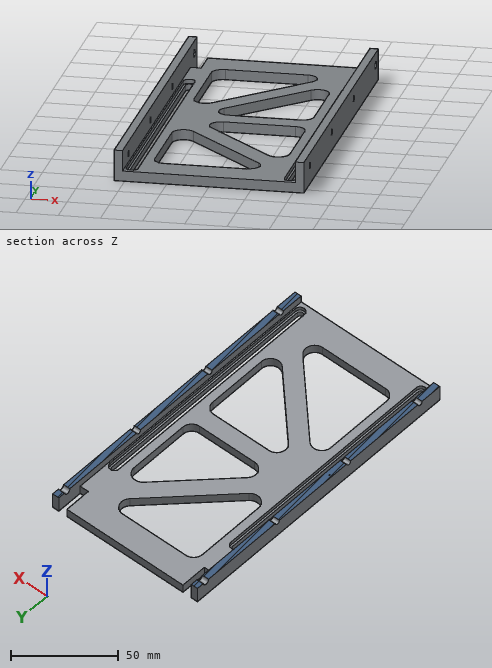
import cadquery as cq
import math

width = 90.0
length = 170.0
height = 15.0
wall_thickness = 4.0
base_thickness = 5.0

notch_width = 5.0
notch_length = 15.0

slot_from_side = 7.5
slot_width = 3.3
slot_recess_width = 5.5
slot_start = 5.0
slot_travel = 130.0
slot_recess_depth = 2.0

window_margin = 15.0
brace_width = 10.0
window_corner_radius = 5.5

hole_height = 9.0
hole_pitch = 50.0
first_hole_from_end = 6.0
first_hole_diameter = 3.5
hole_diameter = 2.7
plain_hole_count = 3

half_width = width / 2
half_length = length / 2
inner_half_width = half_width - wall_thickness


def make_channel():
    """U-shaped body, with its underside at Z = 0."""
    body = cq.Workplane("XY").box(width, length, height, centered=(True, True, False))
    trough = (
        cq.Workplane("XY")
        .workplane(offset=base_thickness)
        .rect(2 * inner_half_width, length)
        .extrude(height - base_thickness)
    )
    return body.cut(trough)


def make_notches():
    """Blocks that open the base plate beside each wall at the +Y end."""
    return (
        cq.Workplane("XY")
        .pushPoints(
            [
                (side * (inner_half_width - notch_width / 2), half_length - notch_length / 2)
                for side in (-1, 1)
            ]
        )
        .rect(notch_width, notch_length)
        .extrude(base_thickness)
    )


def make_stepped_slot(side):
    """Narrow through slot with a wider recess in the top of the base plate."""
    center_x = side * (half_width - slot_from_side)
    center_y = -half_length + slot_start + slot_travel / 2
    through = (
        cq.Workplane("XY")
        .center(center_x, center_y)
        .slot2D(slot_travel + slot_width, slot_width, 90)
        .extrude(base_thickness)
    )
    recess = (
        cq.Workplane("XY")
        .workplane(offset=base_thickness - slot_recess_depth)
        .center(center_x, center_y)
        .slot2D(slot_travel + slot_recess_width, slot_recess_width, 90)
        .extrude(slot_recess_depth)
    )
    return through.union(recess)


def make_triangle(corner_x, corner_y, leg_x, leg_y):
    """Rounded right triangle; the signed legs run from its square corner."""
    return (
        cq.Workplane("XY")
        .polyline(
            [
                (corner_x, corner_y),
                (corner_x + leg_x, corner_y),
                (corner_x, corner_y + leg_y),
            ]
        )
        .close()
        .extrude(base_thickness)
        .edges("|Z")
        .fillet(window_corner_radius)
    )


def make_windows(end):
    """Pair of triangles either side of the brace, in the half towards end."""
    left = -half_width + window_margin
    right = half_width - window_margin
    outer = half_length - window_margin
    inner = brace_width / 2
    brace_setback = brace_width / math.sqrt(2)
    outer_leg = outer - inner - brace_setback
    inner_leg = right - left - brace_setback
    outer_triangle = make_triangle(left, end * outer, outer_leg, -end * outer_leg)
    inner_triangle = make_triangle(right, end * inner, -inner_leg, end * inner_leg)
    return outer_triangle.union(inner_triangle)


def make_cross_hole(y, diameter):
    """Cylinder along X through both walls."""
    return (
        cq.Workplane("YZ")
        .workplane(offset=-half_width)
        .center(y, hole_height)
        .circle(diameter / 2)
        .extrude(width)
    )


result = make_channel().cut(make_notches())

for side in (-1, 1):
    result = result.cut(make_stepped_slot(side))

for end in (-1, 1):
    result = result.cut(make_windows(end))

first_hole_y = half_length - first_hole_from_end
result = result.cut(make_cross_hole(first_hole_y, first_hole_diameter))
for index in range(1, plain_hole_count + 1):
    result = result.cut(make_cross_hole(first_hole_y - index * hole_pitch, hole_diameter))